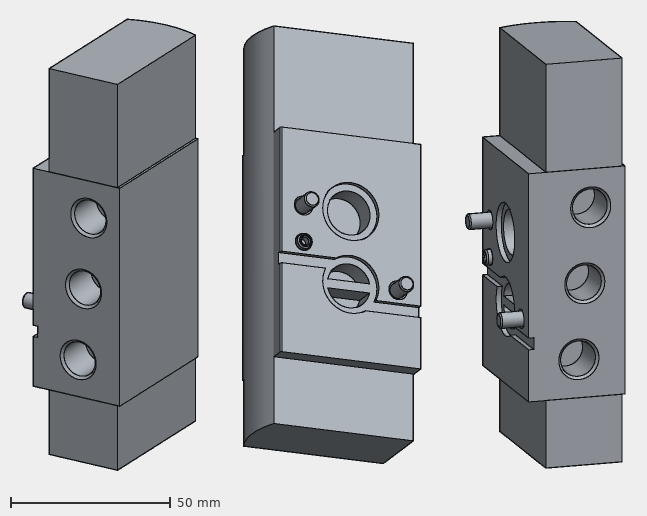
import cadquery as cq

HOUSING_WIDTH = 31.75
HOUSING_DEPTH = 47.45
HOUSING_HEIGHT = 74.0
CORNER_CHAMFER = 0.4

CAP_X_START = 5.75
CAP_X_END = 30.85
CAP_FRONT_INSET = 0.2
TOP_CAP_HEIGHT = 35.0
BOTTOM_CAP_HEIGHT = 22.0
CROWN_RISE = 2.35
CROWN_CENTER_X = (CAP_X_START + CAP_X_END) / 2
CROWN_TOP_Y = HOUSING_DEPTH + CROWN_RISE

FRONT_PORT_DIAMETER = 11.45
FRONT_PORT_MOUTH_DIAMETER = 13.2
FRONT_PORT_CHAMFER = (FRONT_PORT_MOUTH_DIAMETER - FRONT_PORT_DIAMETER) / 2
FRONT_PORT_DEPTH = 14.0
FRONT_PORT_CENTER_X = 18.5
FRONT_PORT_STEP_X = 1.95
FRONT_PORT_STEP_Z = 24.5

FACE_CENTER_Y = HOUSING_DEPTH / 2
MIDDLE_Z = HOUSING_HEIGHT / 2
FACE_STEP_Z = 12.0
UPPER_PORT_Z = MIDDLE_Z + FACE_STEP_Z
LOWER_PORT_Z = MIDDLE_Z - FACE_STEP_Z
FACE_PORT_DIAMETER = 14.4
FACE_PORT_DEPTH = 10.0
RECESS_DIAMETER = 19.0
RECESS_DEPTH = 1.7
BAR_THICKNESS = 3.0

GROOVE_WIDTH = 3.8
GROOVE_OFFSET_Z = 6.2

SCREW_DIAMETER = 5.0
SCREW_PROTRUSION = 7.35
SCREW_INSERTION = 15.0
SCREW_TIP_CHAMFER = 0.45
SCREW_OFFSET_Y = 16.0
SCREW_HOLE_MOUTH_DIAMETER = 6.2
SCREW_CENTERS = [
    (FACE_CENTER_Y + SCREW_OFFSET_Y, UPPER_PORT_Z),
    (FACE_CENTER_Y - SCREW_OFFSET_Y, LOWER_PORT_Z),
]

PIN_DIAMETER = 5.0
PIN_BORE_DIAMETER = 2.5
PIN_BORE_MOUTH_DIAMETER = 3.24
PIN_BORE_DEPTH = 3.0
PIN_HOLE_MOUTH_DIAMETER = 5.5
PIN_PROTRUSION = 1.65
PIN_INSERTION = 5.0
PIN_TIP_CHAMFER = 0.5
PIN_CENTER = (FACE_CENTER_Y + SCREW_OFFSET_Y, MIDDLE_Z)


def cylinder_along_x(diameter, x_start, x_end, center):
    """Cylinder parallel to X; center is its (Y, Z) position."""
    plane = cq.Workplane("YZ", origin=(x_start, center[0], center[1]))
    return plane.circle(diameter / 2).extrude(x_end - x_start)


def block(x_range, y_range, z_range):
    """Box given by its start and end along each axis."""
    return (
        cq.Workplane("XY")
        .box(
            x_range[1] - x_range[0],
            y_range[1] - y_range[0],
            z_range[1] - z_range[0],
            centered=False,
        )
        .translate((x_range[0], y_range[0], z_range[0]))
    )


def crowned_core():
    """Both end caps and the crown, as one profile along the full height."""
    return (
        cq.Workplane("XY", origin=(0, 0, -BOTTOM_CAP_HEIGHT))
        .moveTo(CAP_X_START, CAP_FRONT_INSET)
        .lineTo(CAP_X_END, CAP_FRONT_INSET)
        .lineTo(CAP_X_END, HOUSING_DEPTH)
        .threePointArc((CROWN_CENTER_X, CROWN_TOP_Y), (CAP_X_START, HOUSING_DEPTH))
        .close()
        .extrude(BOTTOM_CAP_HEIGHT + HOUSING_HEIGHT + TOP_CAP_HEIGHT)
    )


def housing_block():
    """Plain housing with the mounting face's +Y corner broken."""
    body = block((0, HOUSING_WIDTH), (0, HOUSING_DEPTH), (0, HOUSING_HEIGHT))
    return body.edges("<X and >Y").chamfer(CORNER_CHAMFER)


def front_port(step):
    """Chamfered blind port; step is -1, 0 or 1 counted from the middle port."""
    mouth_radius = FRONT_PORT_MOUTH_DIAMETER / 2
    bore_radius = FRONT_PORT_DIAMETER / 2
    half_profile = (
        cq.Workplane("XY")
        .lineTo(mouth_radius, 0)
        .lineTo(bore_radius, FRONT_PORT_CHAMFER)
        .lineTo(bore_radius, FRONT_PORT_DEPTH)
        .lineTo(0, FRONT_PORT_DEPTH)
        .close()
    )
    return half_profile.revolve(360, (0, 0), (0, 1)).translate(
        (FRONT_PORT_CENTER_X + step * FRONT_PORT_STEP_X, 0, MIDDLE_Z + step * FRONT_PORT_STEP_Z)
    )


def face_port(center_z):
    """Blind port and its wider, shallow seal recess."""
    center = (FACE_CENTER_Y, center_z)
    bore = cylinder_along_x(FACE_PORT_DIAMETER, 0, FACE_PORT_DEPTH, center)
    recess = cylinder_along_x(RECESS_DIAMETER, 0, RECESS_DEPTH, center)
    return bore.union(recess)


def lower_port_bar():
    """Bar left standing across the lower port, level with the recess floor."""
    half_length = FACE_PORT_DIAMETER / 2
    half_thickness = BAR_THICKNESS / 2
    return block(
        (RECESS_DEPTH, FACE_PORT_DEPTH),
        (FACE_CENTER_Y - half_length, FACE_CENTER_Y + half_length),
        (LOWER_PORT_Z - half_thickness, LOWER_PORT_Z + half_thickness),
    )


def vent_groove(y_range, center_z):
    """Groove along Y, as deep as the seal recess."""
    half_width = GROOVE_WIDTH / 2
    return block((0, RECESS_DEPTH), y_range, (center_z - half_width, center_z + half_width))


def countersunk_hole(diameter, mouth_diameter, x_start, depth, center):
    """Cutter for a blind hole along X with a 45 degree mouth; center is (Y, Z)."""
    hole = cylinder_along_x(diameter, x_start, x_start + depth, center)
    mouth = cq.Solid.makeCone(
        mouth_diameter / 2,
        diameter / 2,
        (mouth_diameter - diameter) / 2,
        pnt=cq.Vector(x_start, *center),
        dir=cq.Vector(1, 0, 0),
    )
    return hole.union(cq.Workplane(mouth))


def make_housing():
    """Housing with its end caps, ports, grooves and fixing holes."""
    body = housing_block().union(crowned_core())
    for step in (-1, 0, 1):
        body = body.cut(front_port(step))
    body = body.cut(face_port(UPPER_PORT_Z))
    body = body.cut(face_port(LOWER_PORT_Z).cut(lower_port_bar()))
    body = body.cut(vent_groove((FACE_CENTER_Y, HOUSING_DEPTH), LOWER_PORT_Z + GROOVE_OFFSET_Z))
    body = body.cut(vent_groove((0, FACE_CENTER_Y), LOWER_PORT_Z - GROOVE_OFFSET_Z))
    for center in SCREW_CENTERS:
        hole = countersunk_hole(SCREW_DIAMETER, SCREW_HOLE_MOUTH_DIAMETER, 0, SCREW_INSERTION, center)
        body = body.cut(hole)
    pin_hole = countersunk_hole(PIN_DIAMETER, PIN_HOLE_MOUTH_DIAMETER, 0, PIN_INSERTION, PIN_CENTER)
    return body.cut(pin_hole)


def make_screw(center):
    """Screw shank filling its hole, with a chamfered tip."""
    shank = cylinder_along_x(SCREW_DIAMETER, -SCREW_PROTRUSION, SCREW_INSERTION, center)
    return shank.faces("<X").chamfer(SCREW_TIP_CHAMFER)


def make_pin():
    """Short pin with a chamfered tip and a countersunk bore."""
    body = cylinder_along_x(PIN_DIAMETER, -PIN_PROTRUSION, PIN_INSERTION, PIN_CENTER)
    body = body.faces("<X").chamfer(PIN_TIP_CHAMFER)
    bore = countersunk_hole(
        PIN_BORE_DIAMETER, PIN_BORE_MOUTH_DIAMETER, -PIN_PROTRUSION, PIN_BORE_DEPTH, PIN_CENTER
    )
    return body.cut(bore)


housing = make_housing()
screws = [make_screw(center) for center in SCREW_CENTERS]
pin = make_pin()

result = cq.Compound.makeCompound([housing.val(), *[screw.val() for screw in screws], pin.val()])